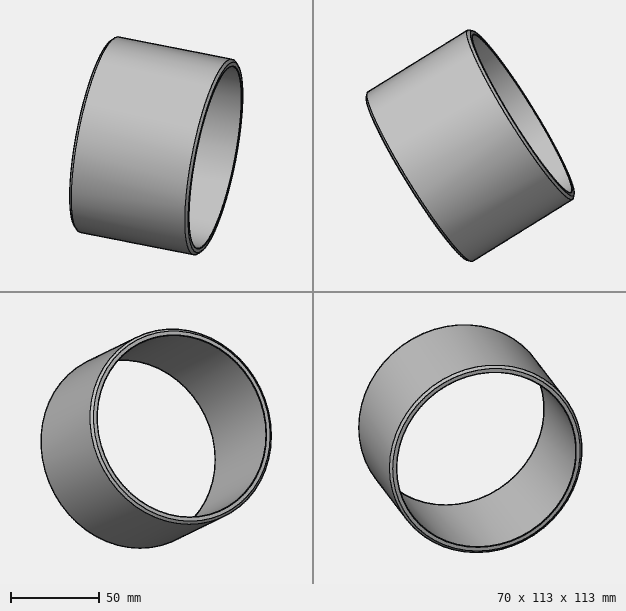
import cadquery as cq

length = 70.0
outer_diameter = 113.03
bore_diameter = 105.0
outer_chamfer = 1.5
bore_chamfer = 0.3

SMALLEST_RADIUS = 0
LARGEST_RADIUS = -1


def make_tube():
    """Plain round tube along X, centred on the origin."""
    end_plane = cq.Workplane("YZ", origin=(-length / 2, 0, 0))
    ring = end_plane.circle(outer_diameter / 2).circle(bore_diameter / 2)
    return ring.extrude(length)


def chamfer_rims(tube, radius_rank, size):
    """Bevel the circular edge of the given radius rank at both ends of the tube."""
    rims = cq.selectors.RadiusNthSelector(radius_rank)
    return tube.faces("<X or >X").edges(rims).chamfer(size)


result = make_tube()
result = chamfer_rims(result, LARGEST_RADIUS, outer_chamfer)
result = chamfer_rims(result, SMALLEST_RADIUS, bore_chamfer)